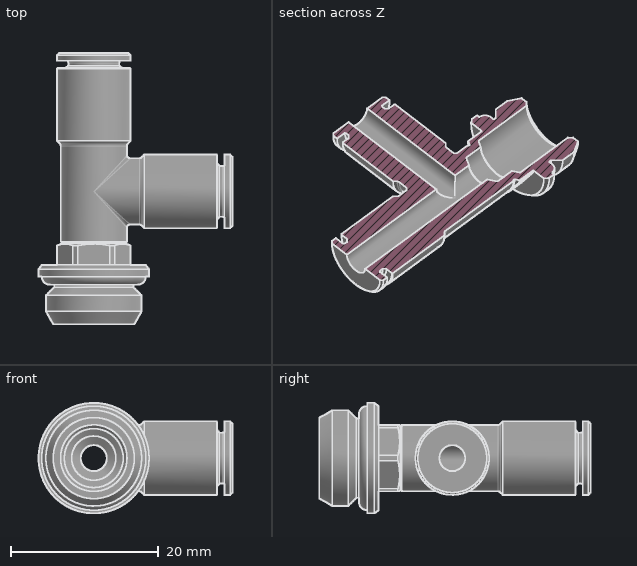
import cadquery as cq
import math

junction_y = 18.05
arm_length = 18.75
branch_length = 18.8
tube_radius = 9.0 / 2
through_radius = 3.5 / 2
junction_fillet = 0.4

shell_radius = 10.0 / 2
shell_start = 6.85
shell_end = 16.75
shell_edge_chamfer = 0.1
shoulder_chamfer = 0.35
shoulder_arc_radius = 0.45
release_neck_radius = 6.9 / 2
neck_foot_flare = 0.35
neck_foot_height = 0.3
neck_head_flare = 0.07
neck_head_height = 0.25
collar_thickness = 1.1
collar_chamfer = 0.33

plug_radius = 13.0 / 2
plug_tip_radius = 11.0 / 2
plug_tip_length = 1.75
plug_land_end = 3.95
groove_radius = 10.8 / 2
groove_start = 5.05
seal_start = 5.37
seal_radius = 14.13 / 2
flange_start = 6.48
flange_end = 8.05
flange_radius = 15.0 / 2
flange_chamfer_width = 0.45
flange_chamfer_length = 0.6

hex_across_flats = 9.0
hex_end = 10.95
hex_corner_radius = 10.0 / 2
hex_chamfer_base_radius = 4.38
hex_chamfer_angle = 25.0
relief_radius = 4.38
relief_end = 11.2

bore_mouth_radius = 9.0 / 2
bore_radius = 8.0 / 2
bore_depth = 9.55
step_radius = 6.0 / 2
step_depth = 12.88
bore_cone_slope = math.tan(math.radians(30))


def revolve_about_y(profile):
    return profile.close().revolve(360, (0, 0, 0), (0, 1, 0))


def make_arm(length):
    """Outer shape of a push-in arm along +Y, without the plain tube inside its root."""
    arc_turn = math.radians(45)
    arc_rise = shoulder_arc_radius * (1 - math.cos(arc_turn))
    arc_run = shoulder_arc_radius * math.sin(arc_turn)
    chamfer_foot = shell_start - shoulder_chamfer
    arc_start = chamfer_foot - arc_run
    half_turn = arc_turn / 2
    arc_middle = (
        tube_radius + shoulder_arc_radius * (1 - math.cos(half_turn)),
        arc_start + shoulder_arc_radius * math.sin(half_turn),
    )
    collar_start = length - collar_thickness
    profile = (
        cq.Workplane("XY")
        .lineTo(tube_radius, 0)
        .lineTo(tube_radius, arc_start)
        .threePointArc(arc_middle, (tube_radius + arc_rise, chamfer_foot))
        .lineTo(shell_radius, shell_start)
        .lineTo(shell_radius, shell_end - shell_edge_chamfer)
        .lineTo(shell_radius - shell_edge_chamfer, shell_end)
        .lineTo(release_neck_radius + neck_foot_flare, shell_end)
        .lineTo(release_neck_radius, shell_end + neck_foot_height)
        .lineTo(release_neck_radius, collar_start - neck_head_height)
        .lineTo(release_neck_radius + neck_head_flare, collar_start)
        .lineTo(shell_radius, collar_start)
        .lineTo(shell_radius, length - collar_chamfer)
        .lineTo(shell_radius - collar_chamfer, length)
        .lineTo(0, length)
    )
    return revolve_about_y(profile)


def make_plug():
    """Plug nose, groove, rounded seal ring and flange."""
    seal_round = flange_start - seal_start
    arc_center_radius = seal_radius - seal_round
    arc_half = seal_round * math.sqrt(0.5)
    arc_middle = (arc_center_radius + arc_half, flange_start - arc_half)
    profile = (
        cq.Workplane("XY")
        .lineTo(plug_tip_radius, 0)
        .lineTo(plug_radius, plug_tip_length)
        .lineTo(plug_radius, plug_land_end)
        .lineTo(groove_radius, groove_start)
        .lineTo(groove_radius, seal_start)
        .lineTo(arc_center_radius, seal_start)
        .threePointArc(arc_middle, (seal_radius, flange_start))
        .lineTo(flange_radius, flange_start)
        .lineTo(flange_radius, flange_end - flange_chamfer_length)
        .lineTo(flange_radius - flange_chamfer_width, flange_end)
        .lineTo(0, flange_end)
    )
    return revolve_about_y(profile)


def make_hexagon():
    """Hexagon with trimmed corners, a conical rear chamfer and a relief behind it."""
    corner_diameter = hex_across_flats / math.cos(math.pi / 6)
    prism = (
        cq.Workplane("XZ", origin=(0, flange_end, 0))
        .polygon(6, corner_diameter)
        .extrude(flange_end - hex_end)
    )
    chamfer_width = hex_corner_radius - hex_chamfer_base_radius
    chamfer_length = chamfer_width * math.tan(math.radians(hex_chamfer_angle))
    envelope = revolve_about_y(
        cq.Workplane("XY")
        .lineTo(hex_corner_radius, 0)
        .lineTo(hex_corner_radius, hex_end - chamfer_length)
        .lineTo(hex_chamfer_base_radius, hex_end)
        .lineTo(0, hex_end)
    )
    relief_length = relief_end - hex_end
    relief = cq.Workplane("XZ", origin=(0, hex_end, 0)).circle(relief_radius).extrude(-relief_length)
    return prism.intersect(envelope).union(relief)


def make_tee():
    """Both push-in arms joined to the main tube, with the junction seam filleted."""
    arm = make_arm(arm_length)
    branch = make_arm(branch_length).rotate((0, 0, 0), (0, 0, 1), -90)
    tube_length = junction_y - relief_end
    lower_tube = cq.Workplane("XZ").circle(tube_radius).extrude(tube_length)
    tee = arm.union(lower_tube).union(branch)
    seam_box = cq.selectors.BoxSelector(
        (0, -tube_radius, -tube_radius), (tube_radius, tube_radius, tube_radius)
    )
    tee = tee.edges("%ELLIPSE").edges(seam_box).fillet(junction_fillet)
    return tee.translate((0, junction_y, 0))


def make_bores():
    """Stepped bore through the main run and a plain bore along the branch."""
    run_end = junction_y + arm_length
    main_bore = revolve_about_y(
        cq.Workplane("XY")
        .lineTo(bore_mouth_radius, 0)
        .lineTo(bore_radius, bore_mouth_radius - bore_radius)
        .lineTo(bore_radius, bore_depth)
        .lineTo(step_radius, bore_depth + bore_cone_slope * (bore_radius - step_radius))
        .lineTo(step_radius, step_depth)
        .lineTo(through_radius, step_depth + bore_cone_slope * (step_radius - through_radius))
        .lineTo(through_radius, run_end)
        .lineTo(0, run_end)
    )
    branch_bore = (
        cq.Workplane("YZ", origin=(0, junction_y, 0))
        .circle(through_radius)
        .extrude(branch_length)
    )
    return main_bore.union(branch_bore)


result = make_tee().union(make_hexagon()).union(make_plug()).cut(make_bores())